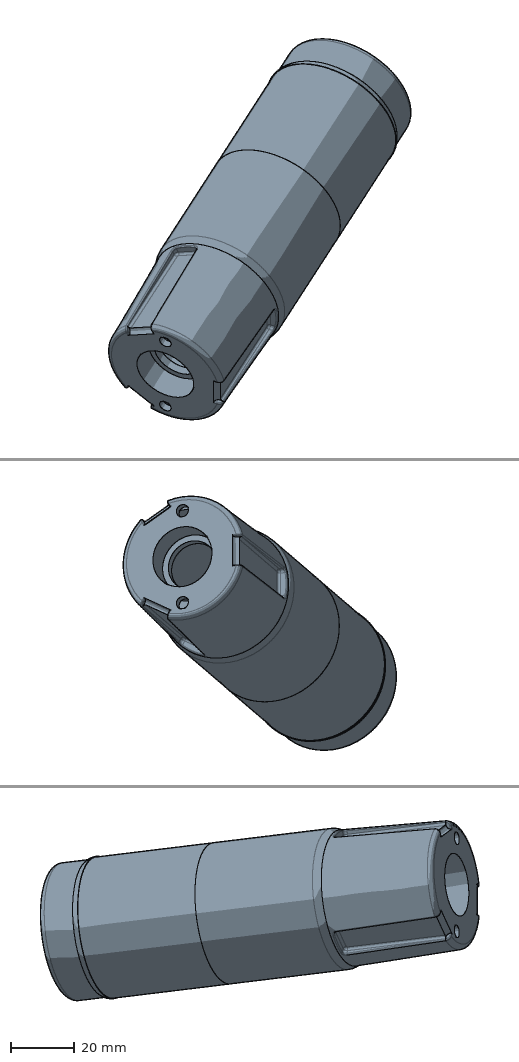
import cadquery as cq
front_y = -67.4
crown_y = 67.4
joint_y = 12.8
cap_seat_y = 52.9

barrel_radius = 45.0 / 2
shoulder_start_y = -27.4
shoulder_end_y = -30.1

grip_root_radius = 43.4 / 2
grip_tip_radius = 41.0 / 2
grip_face_fillet = 1.6

slot_count = 3
slot_floor = 18.6
slot_width = 9.7
slot_end_y = -31.3
slot_end_corner = 1.1
slot_floor_fillet = 0.8
slot_rim_fillet = 0.4
slot_overrun = 6.7

bore_radius = 20.0 / 2
bore_depth = 8.6
tube_radius = 24.0 / 2
cavity_radius = 33.0 / 2
front_wall = 2.4
pin_hole_radius = 4.0 / 2
pin_hole_offset = 15.4

core_front_y = front_y + bore_depth
core_hole_radius = 16.0 / 2
core_lip = 2.8

cap_flange_radius = 45.5 / 2
cap_flange_end_y = 54.9
cap_radius = 44.0 / 2
crown_edge_radius = 39.0 / 2
crown_edge_y = 66.5
cap_side_end_y = 64.6


def cylinder(radius, start_y, end_y, z=0.0):
    """Cylinder parallel to Y, from start_y to end_y."""
    base = cq.Workplane("XZ", origin=(0, start_y, z))
    return base.circle(radius).extrude(start_y - end_y)


def revolve_about_axis(outline):
    """Revolve a closed half outline about the Y axis, with the seam on the -X side."""
    return outline.close().revolve(360, (0, 0, 0), (0, 1, 0)).rotate((0, 0, 0), (0, 1, 0), 180)


def tangent_arc_radius(length, drop):
    """Radius of an arc that leaves the barrel side tangentially and drops over the given length."""
    return (length**2 + drop**2) / (2 * drop)


def turn_to_next_slot(shape):
    return shape.rotate((0, 0, 0), (0, 1, 0), 360 / slot_count)


def make_grip_blank():
    """Solid of revolution: rounded grip face, tapered grip, shoulder and front half of the barrel."""
    shoulder_radius = tangent_arc_radius(
        shoulder_start_y - shoulder_end_y, barrel_radius - grip_root_radius
    )
    outline = (
        cq.Workplane("XY")
        .moveTo(0, front_y)
        .lineTo(grip_tip_radius, front_y)
        .lineTo(grip_root_radius, shoulder_end_y)
        .radiusArc((barrel_radius, shoulder_start_y), -shoulder_radius)
        .lineTo(barrel_radius, joint_y)
        .lineTo(0, joint_y)
    )
    return revolve_about_axis(outline).faces("<Y").edges().fillet(grip_face_fillet)


def make_slot_cutter():
    """Cutter for the slot on the +X side; its floor rolls over into the grip face."""
    outer_x = barrel_radius + slot_overrun
    cutter_front_y = front_y - slot_overrun
    cutter = (
        cq.Workplane("XY")
        .moveTo(slot_floor, slot_end_y)
        .lineTo(outer_x, slot_end_y)
        .lineTo(outer_x, cutter_front_y)
        .lineTo(slot_floor - grip_face_fillet, cutter_front_y)
        .lineTo(slot_floor - grip_face_fillet, front_y)
        .radiusArc((slot_floor, front_y + grip_face_fillet), grip_face_fillet)
        .close()
        .extrude(slot_width / 2, both=True)
    )
    cutter = cutter.faces(">Y").edges("|X").fillet(slot_end_corner)
    floor_outline = cutter.faces(cq.selectors.NearestToPointSelector((slot_floor, slot_end_y - 13.5, 0)))
    return cutter.newObject(floor_outline.edges("|Y or >Y").vals()).fillet(slot_floor_fillet)


def round_slot_rim(grip):
    """Round the rim of the slot on the +X side; the rim edges are the curved ones above its floor."""
    above_floor = slot_floor + slot_floor_fillet + 0.07
    half_span = slot_width / 2 + slot_rim_fillet
    rim_zone = cq.selectors.BoxSelector(
        (above_floor, front_y, -half_span), (barrel_radius, shoulder_end_y - 0.1, half_span)
    )
    return grip.edges(rim_zone).edges("not %LINE").fillet(slot_rim_fillet)


def make_front_housing():
    housing = make_grip_blank()
    slot_cutter = make_slot_cutter()
    for _ in range(slot_count):
        housing = round_slot_rim(housing.cut(slot_cutter))
        housing = turn_to_next_slot(housing)

    cavity = cylinder(cavity_radius, front_y + front_wall, joint_y)
    tube = cylinder(tube_radius, front_y + front_wall, core_front_y)
    housing = housing.cut(cavity.cut(tube))

    housing = housing.cut(cylinder(bore_radius, front_y, core_front_y))
    for z in (-pin_hole_offset, pin_hole_offset):
        housing = housing.cut(cylinder(pin_hole_radius, front_y, front_y + front_wall, z))
    return housing


def make_core():
    """Sleeve seated against the bore tube, with a narrow lip at its front."""
    core = cylinder(cavity_radius, core_front_y, joint_y)
    core = core.cut(cylinder(core_hole_radius, core_front_y, joint_y))
    return core.cut(cylinder(tube_radius, core_front_y + core_lip, joint_y))


def make_cap():
    """Short cylinder on a flange that rolls in to it, with a rounded edge and a shallow domed crown."""
    flange_arc_radius = tangent_arc_radius(
        cap_flange_end_y - cap_seat_y, cap_flange_radius - cap_radius
    )
    crown_rise = crown_y - crown_edge_y
    dome_radius = tangent_arc_radius(crown_edge_radius, crown_rise)
    edge_radius = tangent_arc_radius(crown_edge_y - cap_side_end_y, cap_radius - crown_edge_radius)
    outline = (
        cq.Workplane("XY")
        .moveTo(0, cap_seat_y)
        .lineTo(cap_flange_radius, cap_seat_y)
        .radiusArc((cap_radius, cap_flange_end_y), -flange_arc_radius)
        .lineTo(cap_radius, cap_side_end_y)
        .radiusArc((crown_edge_radius, crown_edge_y), -edge_radius)
        .radiusArc((0, crown_y), -dome_radius)
    )
    return revolve_about_axis(outline)


front_housing = make_front_housing()
core = make_core()
rear_housing = cylinder(barrel_radius, joint_y, cap_seat_y)
cap = make_cap()

result = cq.Compound.makeCompound(
    [front_housing.val(), core.val(), rear_housing.val(), cap.val()]
)